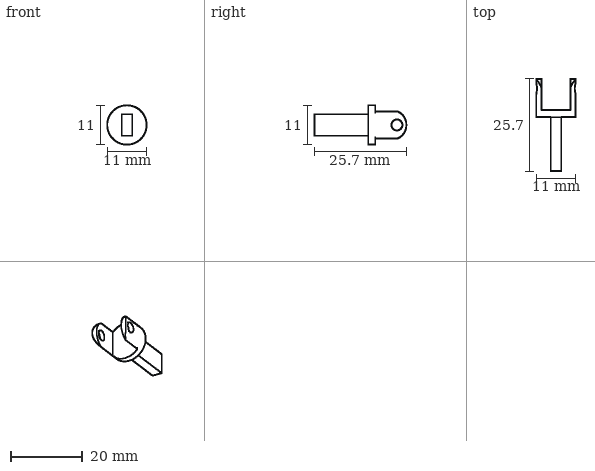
import cadquery as cq

total_length = 25.65
disc_diameter = 11.0
disc_thickness = 2.0
shank_width = 3.0
shank_height = 6.0
shank_length = 15.0
fork_gap = 8.0
tip_radius = 4.1
pin_hole_diameter = 3.0
pin_hole_to_tip = 2.67
tool_width = 15.4

tip_y = total_length - shank_length
tip_center_y = tip_y - tip_radius
pin_hole_y = tip_y - pin_hole_to_tip


def cylinder_along_x(radius, y):
    """Cylinder across the whole fork, centred on X = 0 and Z = 0."""
    return (
        cq.Workplane("YZ")
        .center(y, 0)
        .circle(radius)
        .extrude(tool_width / 2, both=True)
    )


def box_along_y(width, height, y_start, y_end):
    """Box centred on the Y axis between two Y positions."""
    return (
        cq.Workplane("XY")
        .box(width, y_end - y_start, height)
        .translate((0, (y_start + y_end) / 2, 0))
    )


def round_bar(length):
    """Bar of the disc diameter running from Y = 0 towards +Y."""
    bar = cq.Workplane("XZ").circle(disc_diameter / 2).extrude(-length)
    return bar.rotate((0, 0, 0), (0, 1, 0), -90)


def fork():
    """Two circular-segment arms with rounded tips and a shared pin hole."""
    arms = round_bar(tip_y).cut(box_along_y(fork_gap, tool_width, 0, tip_y))
    side_outline = box_along_y(tool_width, tool_width, 0, tip_center_y).union(
        cylinder_along_x(tip_radius, tip_center_y)
    )
    pin_hole = cylinder_along_x(pin_hole_diameter / 2, pin_hole_y)
    return arms.intersect(side_outline).cut(pin_hole)


shank = box_along_y(shank_width, shank_height, -shank_length, 0)
result = round_bar(disc_thickness).union(shank).union(fork())